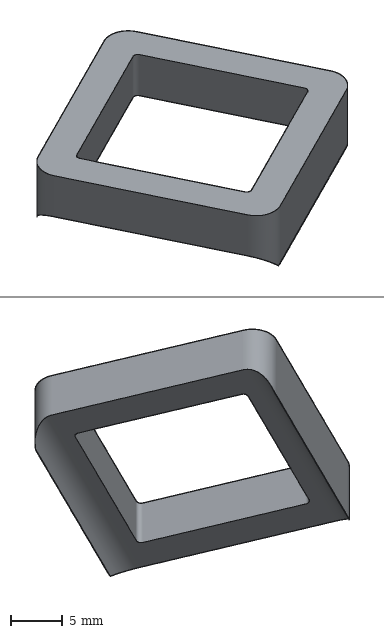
import cadquery as cq

side = 25.0
height = 7.0
corner_radius = 2.5

window_side = 18.0
window_corner_radius = 0.5

lip_depth = 2.0


def rounded_square_prism(width, length, radius):
    """Square prism standing on Z = 0 with rounded vertical edges."""
    return (
        cq.Workplane("XY")
        .rect(width, width)
        .extrude(length)
        .edges("|Z")
        .fillet(radius)
    )


def channel():
    """Full-length channel with a flat roof and quarter-round upper corners.

    Its corners have the same radius as the frame corners, and its sides
    reach full width below Z = 0, so the lips taper to a thin edge.
    """
    half_width = side / 2
    return (
        cq.Workplane("XY")
        .box(side, side, side)
        .edges("|Y and >Z")
        .fillet(corner_radius)
        .translate((0, 0, lip_depth - half_width))
    )


frame = rounded_square_prism(side, height, corner_radius)
window = rounded_square_prism(window_side, height, window_corner_radius)

result = frame.cut(window).cut(channel())